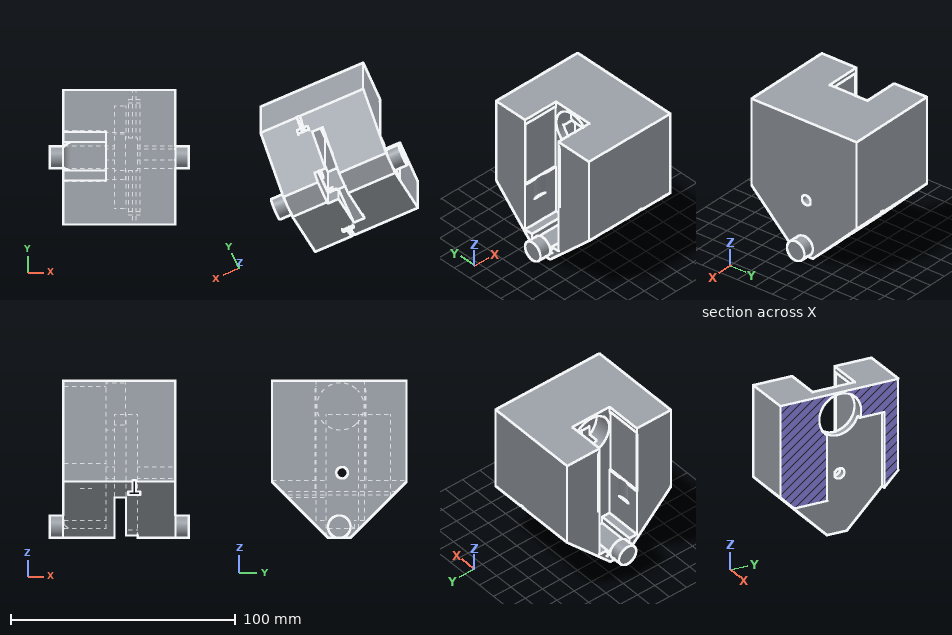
import cadquery as cq
import math

body_length = 50.0
body_width = 60.0
body_height = 70.0
foot_width = 10.0
half_width = body_width / 2
half_foot = foot_width / 2
chamfer_height = half_width - half_foot

pin_radius = half_foot
pin_length = 6.0

pocket_center_y = 0.5
pocket_width = 21.5
pocket_depth = 19.0
pocket_floor_z = 7.8
pocket_wall = pocket_width / 2

channel_edges = (-6.0, 6.8)
channel_floor_z = 4.2
root_radius = 3.9

recess_depth = 0.6
recess_bottom_z = 33.0
recess_radius = 5.0
recess_start_x = 0.4
recess_end_x = 23.0

notch_center_x = 9.25
notch_length = 6.7
notch_bottom_z = 22.0

bore_radius = 10.5
bore_z = 58.5
bore_end_x = 27.8
hole_radius = 2.5
hole_y = 1.25
hole_z = 29.0

slot_start_x = 22.9
slot_end_x = 28.0
slot_top_z = 17.9
cavity_top_z = 55.0
cavity_min_y = channel_edges[0]
cavity_max_y = half_foot + slot_top_z
bay_end_x = 33.2
bay_max_y = 8.6

tee_center_x = 31.7
tee_bar_width = 5.2
tee_stem_width = 1.4
tee_bottom_z = 19.2
tee_bar_top_z = 20.6
tee_top_z = 25.6


def block(x_range, y_range, z_range):
    """Box between the given limits along each axis."""
    sizes = [high - low for low, high in (x_range, y_range, z_range)]
    corner = (x_range[0], y_range[0], z_range[0])
    return cq.Workplane("XY").box(*sizes, centered=False).translate(corner)


def rod(x_range, y, z, radius):
    """Cylinder along X."""
    start = cq.Workplane("YZ", origin=(x_range[0], y, z))
    return start.circle(radius).extrude(x_range[1] - x_range[0])


def make_body():
    outline = [
        (-half_foot, 0),
        (half_foot, 0),
        (half_width, chamfer_height),
        (half_width, body_height),
        (-half_width, body_height),
        (-half_width, chamfer_height),
    ]
    return cq.Workplane("YZ").polyline(outline).close().extrude(body_length)


def across_pocket(half):
    """Limits in Y of a feature centred in the pocket."""
    return (pocket_center_y - half, pocket_center_y + half)


def make_wall_recess():
    """Rounded box slightly wider than the pocket, trimmed by the front lips and the back wall."""
    y_range = across_pocket(pocket_wall + recess_depth)
    z_range = (recess_bottom_z, body_height)
    rounded = block((0, recess_end_x), y_range, z_range)
    rounded = rounded.edges("(|Z and >X) or (|X and >Z) or (|Y and >X and >Z)").fillet(recess_radius)
    return rounded.intersect(block((recess_start_x, pocket_depth), y_range, z_range))


def make_wall_notch(side):
    """Shallow cylindrical scallop in one pocket wall."""
    radius = ((notch_length / 2) ** 2 + recess_depth**2) / (2 * recess_depth)
    axis_y = pocket_center_y + side * (pocket_wall + recess_depth - radius)
    height = recess_bottom_z - notch_bottom_z
    base = cq.Workplane("XY", origin=(notch_center_x, axis_y, notch_bottom_z))
    scallop = base.circle(radius).extrude(height)
    strip_edges = sorted((pocket_center_y, pocket_center_y + side * half_width))
    strip = block(
        (notch_center_x - notch_length / 2, notch_center_x + notch_length / 2),
        strip_edges,
        (notch_bottom_z, recess_bottom_z),
    )
    return scallop.intersect(strip)


def make_pocket():
    pocket = block((0, pocket_depth), across_pocket(pocket_wall), (pocket_floor_z, body_height))
    channel = block((0, pocket_depth), channel_edges, (channel_floor_z, body_height))
    pocket = pocket.union(channel).union(make_wall_recess())
    for side in (-1, 1):
        pocket = pocket.union(make_wall_notch(side))
    return pocket


def make_root_flank(corner_y):
    """Pin profile with a concave arc running from its flank to the channel corner."""
    corner_z = channel_floor_z - pin_radius
    side = math.copysign(1, corner_y)
    corner_distance = math.hypot(corner_y, corner_z)
    center_distance = pin_radius + root_radius
    opening = math.acos(
        (center_distance**2 + corner_distance**2 - root_radius**2) / (2 * center_distance * corner_distance)
    )
    direction = math.atan2(corner_z, abs(corner_y)) + opening
    arc_center = cq.Vector(side * math.cos(direction), math.sin(direction)) * center_distance
    touch = arc_center * (pin_radius / center_distance)
    corner = cq.Vector(corner_y, corner_z)
    toward_middle = ((touch + corner) * 0.5 - arc_center).normalized()
    middle = arc_center + toward_middle * root_radius
    return (
        cq.Workplane("YZ", origin=(0, 0, pin_radius))
        .moveTo(0, corner_z)
        .lineTo(corner.x, corner.y)
        .threePointArc((middle.x, middle.y), (touch.x, touch.y))
        .lineTo(0, touch.y)
        .close()
        .extrude(root_radius)
    )


def make_root_fillet():
    """Concave fillet from the channel floor to the end and flanks of the pin, mitred where they meet."""
    profile = rod((0, root_radius), 0, pin_radius, pin_radius)
    for corner_y in channel_edges:
        profile = profile.union(make_root_flank(corner_y))
    arc_z = channel_floor_z + root_radius
    diagonal = root_radius * (1 - math.sqrt(0.5))
    end = (
        cq.Workplane("XZ")
        .moveTo(0, 0)
        .lineTo(root_radius, 0)
        .lineTo(root_radius, channel_floor_z)
        .threePointArc((diagonal, channel_floor_z + diagonal), (0, arc_z))
        .close()
        .extrude(half_width, both=True)
    )
    return profile.intersect(end)


def make_cavity():
    """Through slot with the taller cavity and side bay above it."""
    slot = block((slot_start_x, slot_end_x), (-half_width, half_width), (0, slot_top_z))
    cavity = block((slot_start_x, slot_end_x), (cavity_min_y, cavity_max_y), (0, cavity_top_z))
    bay = block((slot_start_x, bay_end_x), (cavity_min_y, bay_max_y), (0, cavity_top_z))
    return slot.union(cavity).union(bay)


def make_tee_slot():
    def centered(width):
        return (tee_center_x - width / 2, tee_center_x + width / 2)

    across = (-half_width, half_width)
    bar = block(centered(tee_bar_width), across, (tee_bottom_z, tee_bar_top_z))
    stem = block(centered(tee_stem_width), across, (tee_bottom_z, tee_top_z))
    return bar.union(stem)


result = make_body()
result = result.cut(make_pocket())
result = result.cut(rod((0, bore_end_x), pocket_center_y, bore_z, bore_radius))
result = result.cut(rod((0, body_length), hole_y, hole_z, hole_radius))
result = result.cut(make_cavity())
result = result.cut(make_tee_slot())
result = result.union(make_root_fillet())
for pin_start in (-pin_length, body_length):
    result = result.union(rod((pin_start, pin_start + pin_length), 0, pin_radius, pin_radius))